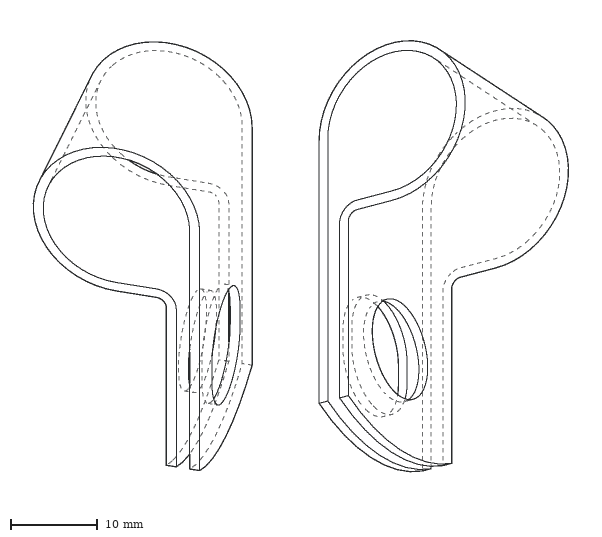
import cadquery as cq
import math


strap_thickness = 1.2
strap_width = 22.225
loop_outer_radius = 9.945
overall_height = 45.66
leg_gap = 1.6
bend_inner_radius = 1.2
hole_diameter = 11.9
slot_length = 14.3
hole_to_tip = 12.7
tip_radius = 25.4

loop_inner_radius = loop_outer_radius - strap_thickness
bend_outer_radius = bend_inner_radius + strap_thickness

bent_leg_gap_face = loop_inner_radius - leg_gap
bent_leg_outside_face = bent_leg_gap_face - strap_thickness
gap_middle = loop_inner_radius - leg_gap / 2

bend_center_x = bent_leg_gap_face - bend_outer_radius
bend_center_z = -loop_inner_radius - bend_outer_radius

half_width = strap_width / 2
leg_bottom = loop_outer_radius - overall_height
hole_height = leg_bottom + hole_to_tip
tip_center_z = leg_bottom + tip_radius
tip_corner_height = tip_center_z - math.sqrt(tip_radius**2 - half_width**2)


def loop_midpoint(radius):
    """Point halfway along the three-quarter loop, on its upper -X side."""
    offset = radius * math.sqrt(0.5)
    return (-offset, offset)


def bend_midpoint(radius):
    """Point halfway along the quarter bend into the bent leg."""
    offset = radius * math.sqrt(0.5)
    return (bend_center_x + offset, bend_center_z + offset)


def bent_strap():
    """Strap cross-section in XZ, extruded symmetrically along Y."""
    profile = (
        cq.Workplane("XZ")
        .moveTo(loop_outer_radius, leg_bottom)
        .lineTo(loop_outer_radius, 0)
        .threePointArc(loop_midpoint(loop_outer_radius), (0, -loop_outer_radius))
        .lineTo(bend_center_x, -loop_outer_radius)
        .threePointArc(bend_midpoint(bend_inner_radius), (bent_leg_outside_face, bend_center_z))
        .lineTo(bent_leg_outside_face, leg_bottom)
        .lineTo(bent_leg_gap_face, leg_bottom)
        .lineTo(bent_leg_gap_face, bend_center_z)
        .threePointArc(bend_midpoint(bend_outer_radius), (bend_center_x, -loop_inner_radius))
        .lineTo(0, -loop_inner_radius)
        .threePointArc(loop_midpoint(loop_inner_radius), (loop_inner_radius, 0))
        .lineTo(loop_inner_radius, leg_bottom)
        .close()
    )
    return profile.extrude(half_width, both=True)


def side_outline():
    """Strap silhouette in YZ with the rounded leg tip, spanning the full X extent."""
    return (
        cq.Workplane("YZ")
        .moveTo(-half_width, loop_outer_radius)
        .lineTo(-half_width, tip_corner_height)
        .threePointArc((0, leg_bottom), (half_width, tip_corner_height))
        .lineTo(half_width, loop_outer_radius)
        .close()
        .extrude(loop_outer_radius, both=True)
    )


def round_hole():
    """Round hole cutter along X, through the bent leg to the middle of the leg gap."""
    return (
        cq.Workplane("YZ", origin=(0, 0, hole_height))
        .circle(hole_diameter / 2)
        .extrude(gap_middle)
    )


def slotted_hole():
    """Upright slot cutter along X, from the middle of the leg gap through the straight leg."""
    return (
        cq.Workplane("YZ", origin=(gap_middle, 0, hole_height))
        .slot2D(slot_length, hole_diameter, angle=90)
        .extrude(loop_outer_radius - gap_middle)
    )


result = bent_strap().intersect(side_outline()).cut(round_hole()).cut(slotted_hole())